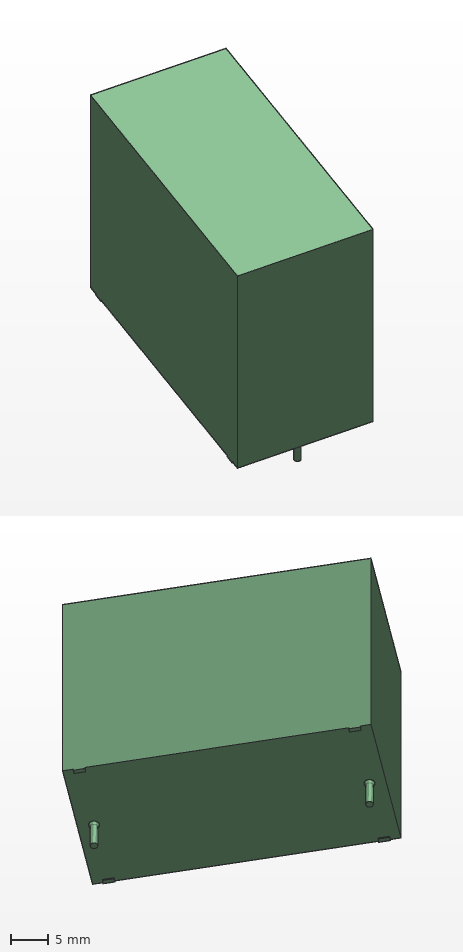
import cadquery as cq
import math

length = 42.0
width = 20.5
total_height = 38.0

pin_diameter = 1.0
pin_spacing = 37.5
pin_length = 4.0

collar_radius = 0.5
collar_drop = 0.4

standoff_height = 0.2
standoff_length = 1.6
standoff_width = 0.6

body_height = total_height - pin_length - standoff_height
pin_radius = pin_diameter / 2
pin_tip_z = -(standoff_height + pin_length)


def make_body():
    """Plain rectangular case with its underside at Z = 0."""
    return cq.Workplane("XY").box(length, width, body_height, centered=(True, True, False))


def make_standoffs():
    """Four low pads, flush with the long sides of the case."""
    return (
        cq.Workplane("XY")
        .rect(pin_spacing, width - standoff_width, forConstruction=True)
        .vertices()
        .rect(standoff_length, standoff_width)
        .extrude(-standoff_height)
    )


def make_pin():
    """Round terminal on the Z axis, flaring through a quarter-round collar into the case."""
    collar_top_z = collar_radius - collar_drop
    arc_offset = collar_radius * math.sqrt(0.5)
    arc_middle = (pin_radius + collar_radius - arc_offset, -collar_drop + arc_offset)
    return (
        cq.Workplane("XZ")
        .moveTo(0, pin_tip_z)
        .lineTo(pin_radius, pin_tip_z)
        .lineTo(pin_radius, -collar_drop)
        .threePointArc(arc_middle, (pin_radius + collar_radius, collar_top_z))
        .lineTo(0, collar_top_z)
        .close()
        .revolve(360, (0, 0), (0, 1))
    )


result = make_body().union(make_standoffs())
for pin_x in (-pin_spacing / 2, pin_spacing / 2):
    result = result.union(make_pin().translate((pin_x, 0, 0)))